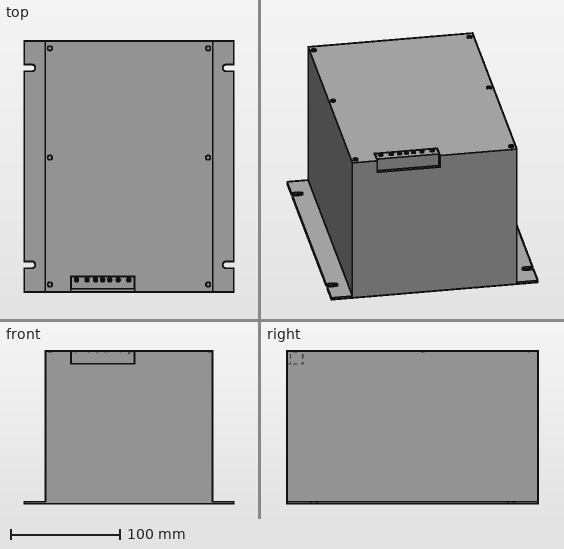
import cadquery as cq

length = 230.0
base_width = 192.0
box_width = 153.0
height = 140.0
plate_thickness = 2.0

slot_width = 6.0
slot_depth = 10.1
slot_offset_y = 90.2

cover_hole_diameter = 4.1
cover_hole_depth = 1.0
cover_hole_x = 72.5
cover_hole_rows = (-108.0, 8.0, 108.0)

notch_width = 58.5
notch_depth = 14.5
notch_height = 12.0
notch_center_x = -24.2

block_setback = 3.2
block_clearance = 0.5

terminal_recess_diameter = 3.5
terminal_recess_depth = 1.0
terminal_bore_diameter = 0.7
terminal_bore_depth = 2.3
terminal_hole_inset = 3.5
terminal_hole_offsets = (-24.0, -14.3, -6.5, 0.0, 6.5, 14.3, 24.0)

front_y = -length / 2
notch_back_y = front_y + notch_depth
notch_floor_z = height - notch_height


def box_between(width, center_x, y_start, y_end, z_start, z_end):
    """Box centered on center_x that spans the given Y and Z ranges."""
    return (
        cq.Workplane("XY")
        .box(width, y_end - y_start, z_end - z_start, centered=(True, False, False))
        .translate((center_x, y_start, z_start))
    )


def blind_holes(points, diameter, depth):
    """Cylinders that cut blind holes down from the top face."""
    return (
        cq.Workplane("XY", origin=(0, 0, height))
        .pushPoints(points)
        .circle(diameter / 2)
        .extrude(-depth)
    )


def mounting_slots():
    """Round-ended slots; half of each lies outside the base plate."""
    points = [(side * base_width / 2, y) for side in (-1, 1) for y in (-slot_offset_y, slot_offset_y)]
    return (
        cq.Workplane("XY")
        .pushPoints(points)
        .slot2D(2 * slot_depth, slot_width)
        .extrude(plate_thickness)
    )


def make_housing():
    base_plate = box_between(base_width, 0, front_y, -front_y, 0, plate_thickness)
    box = box_between(box_width, 0, front_y, -front_y, 0, height)
    notch = box_between(notch_width, notch_center_x, front_y, notch_back_y, notch_floor_z, height)
    cover_hole_points = [(side * cover_hole_x, y) for side in (-1, 1) for y in cover_hole_rows]
    return (
        base_plate.union(box)
        .cut(mounting_slots())
        .cut(notch)
        .cut(blind_holes(cover_hole_points, cover_hole_diameter, cover_hole_depth))
    )


def make_terminal_block():
    block_width = notch_width - 2 * block_clearance
    block_front_y = front_y + block_setback
    block_back_y = notch_back_y - block_clearance
    block = box_between(block_width, notch_center_x, block_front_y, block_back_y, notch_floor_z, height)
    hole_y = notch_back_y - terminal_hole_inset
    hole_points = [(notch_center_x + offset, hole_y) for offset in terminal_hole_offsets]
    return (
        block.cut(blind_holes(hole_points, terminal_recess_diameter, terminal_recess_depth))
        .cut(blind_holes(hole_points, terminal_bore_diameter, terminal_bore_depth))
    )


housing = make_housing()
terminal_block = make_terminal_block()

result = cq.Compound.makeCompound([housing.val(), terminal_block.val()])